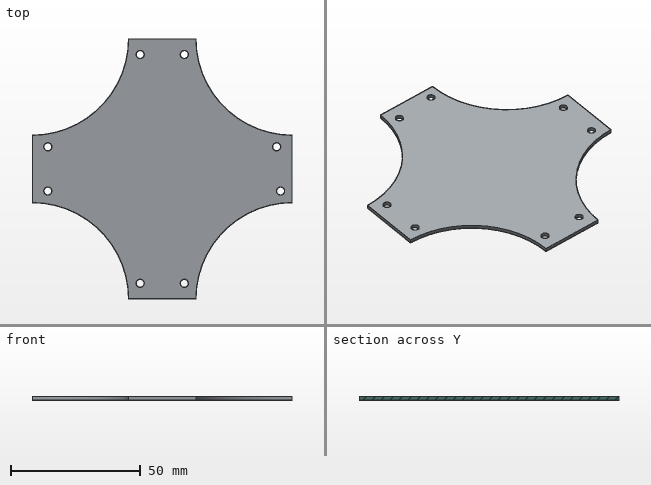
import cadquery as cq

plate_size = 100.0
plate_thickness = 1.5
arm_width = 26.0
hole_diameter = 3.0
hole_spacing = 17.0
hole_edge_distance = 6.0
shifted_hole_offset = 1.5

half_size = plate_size / 2
corner_radius = (plate_size - arm_width) / 2
hole_reach = half_size - hole_edge_distance
half_spacing = hole_spacing / 2


def make_plate():
    """Square plate whose corners are cut by quarter circles, leaving four arms."""
    plate = cq.Workplane("XY").rect(plate_size, plate_size).extrude(plate_thickness)
    corner_cuts = (
        cq.Workplane("XY")
        .rect(plate_size, plate_size, forConstruction=True)
        .vertices()
        .circle(corner_radius)
        .extrude(plate_thickness)
    )
    return plate.cut(corner_cuts)


def hole_centres():
    """A pair of holes near the end of each arm; the -Y hole of the +X arm sits further out."""
    centres = [(hole_reach + shifted_hole_offset, -half_spacing), (hole_reach, half_spacing)]
    for side in (-half_spacing, half_spacing):
        centres.append((-hole_reach, side))
        centres.append((side, hole_reach))
        centres.append((side, -hole_reach))
    return centres


def drill_holes(plate):
    """Drill the mounting holes through the full thickness."""
    return plate.faces(">Z").workplane(origin=(0, 0, 0)).pushPoints(hole_centres()).hole(hole_diameter)


result = drill_holes(make_plate())